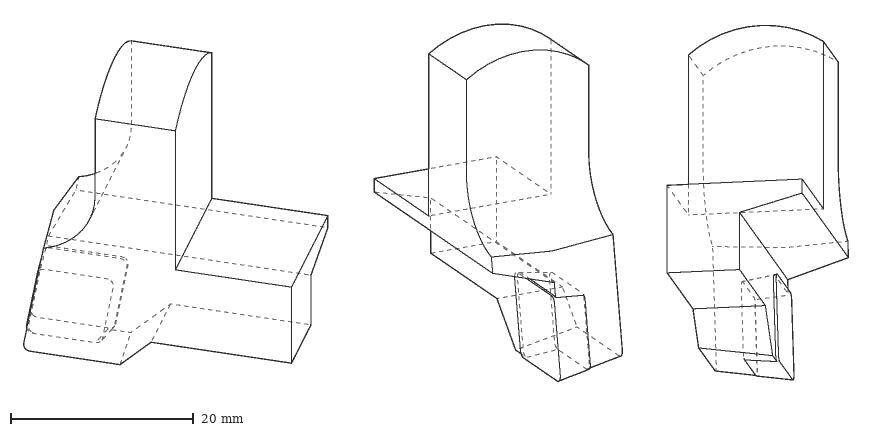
import cadquery as cq
import math

length = 31.85
width = 15.0
height = 35.48

lug_left = 9.58
lug_right = 18.7
crown_radius = 12.42
shank_top = 14.45
shank_bottom = 4.55
chamfer_foot_x = 11.4
throat_radius = 8.0
throat_top = 22.4

nose_angle = math.radians(80)
relief_tangent = math.tan(math.radians(7))
nose_radius = 0.8
insert_height = 9.5
insert_top = 8.37
insert_thickness = 3.97
insert_seat = insert_top - insert_thickness
sharp_corner_x = nose_radius - nose_radius / math.tan(nose_angle / 2)

rake_y = 8.05
insert_overhang = 0.25
notch_lip_z = 11.0
notch_slope = math.tan(math.radians(15))


def loft_outlines(first_y, first_points, last_y, last_points):
    """Straight-sided solid between two XZ outlines at different Y."""
    wires = []
    for y, points in ((first_y, first_points), (last_y, last_points)):
        corners = [cq.Vector(x, y, z) for x, z in points]
        wires.append(cq.Wire.makePolygon(corners, close=True))
    return cq.Workplane(cq.Solid.makeLoft(wires, True))


def rhombus_points(inset):
    """Sharp insert outline, moved inward by the inset on all four sides."""
    rise = insert_height - 2 * inset
    side = rise / math.sin(nose_angle)
    lean = rise / math.tan(nose_angle)
    x = sharp_corner_x + inset / math.tan(nose_angle / 2)
    return [
        (x, inset),
        (x + side, inset),
        (x + side + lean, inset + rise),
        (x + lean, inset + rise),
    ]


def make_insert():
    seat_outline = rhombus_points(insert_thickness * relief_tangent)
    body = loft_outlines(insert_seat, seat_outline, insert_top, rhombus_points(0))
    return body.edges("not #Y").fillet(nose_radius)


def head_points(inset):
    """Envelope outline with its flank and underside moved inward by the inset."""
    corner_x = sharp_corner_x + insert_overhang + inset / math.tan(nose_angle / 2)
    rise = height - inset
    lean_rise = shank_top + throat_radius / 2 - inset
    return [
        (corner_x, inset),
        (length, inset),
        (length, inset + rise),
        (corner_x + lean_rise / math.tan(nose_angle), inset + rise),
        (corner_x + lean_rise / math.tan(nose_angle), inset + lean_rise),
    ]


def head_envelope():
    """Relieved flank and underside on each side of the ridge at the rake face."""
    ridge_inset = (insert_top - rake_y) * relief_tangent
    front_inset = insert_top * relief_tangent
    rear_inset = ridge_inset + (width - rake_y) * relief_tangent
    ridge = head_points(ridge_inset)
    front = loft_outlines(0, head_points(front_inset), rake_y, ridge)
    nose = cq.selectors.NearestToPointSelector((0, rake_y / 2, 0))
    front = front.edges(nose).fillet(nose_radius)
    rear = loft_outlines(rake_y, ridge, width, head_points(rear_inset))
    return front.union(rear)


def side_profile():
    """Lug, shank and head block, before the head is relieved."""
    throat_x = lug_left - throat_radius
    throat_bottom = throat_top - throat_radius
    middle = throat_radius * math.sqrt(0.5)
    return (
        cq.Workplane("XZ")
        .moveTo(0, 0)
        .lineTo(chamfer_foot_x, 0)
        .lineTo(chamfer_foot_x + shank_bottom, shank_bottom)
        .lineTo(length, shank_bottom)
        .lineTo(length, shank_top)
        .lineTo(lug_right, shank_top)
        .lineTo(lug_right, height)
        .lineTo(lug_left, height)
        .lineTo(lug_left, throat_top)
        .threePointArc((throat_x + middle, throat_top - middle), (throat_x, throat_bottom))
        .lineTo(0, throat_bottom)
        .close()
        .extrude(-width)
    )


def crown_envelope():
    """Everything under the round top of the lug, which peaks over the rake face."""
    def crown_z(y):
        return height - crown_radius + math.sqrt(crown_radius**2 - (y - rake_y) ** 2)

    return (
        cq.Workplane("YZ")
        .moveTo(0, 0)
        .lineTo(width, 0)
        .lineTo(width, crown_z(width))
        .threePointArc((rake_y, height), (0, crown_z(0)))
        .close()
        .extrude(length)
    )


def chip_notch():
    """Clearance beside the rake face, running the whole length under a sloping roof."""
    roof_end_z = notch_lip_z + (width - rake_y) * notch_slope
    outline = [(rake_y, 0), (width, 0), (width, roof_end_z), (rake_y, notch_lip_z)]
    return cq.Workplane("YZ").polyline(outline).close().extrude(length)


def make_holder(insert):
    body = side_profile().intersect(head_envelope()).intersect(crown_envelope())
    return body.cut(chip_notch()).cut(insert)


insert = make_insert()
holder = make_holder(insert)

result = cq.Compound.makeCompound([holder.val(), insert.val()])